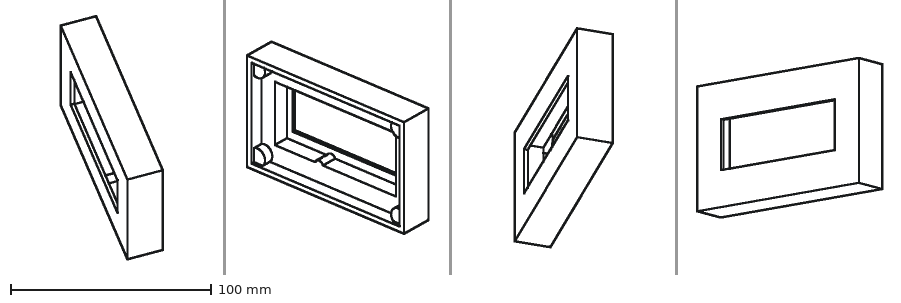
import cadquery as cq

width = 104.0
depth = 18.7
height = 64.0

window_width = 73.0
window_height = 26.0
panel_thickness = 2.0

pocket_margin_x = 3.5
pocket_margin_z = 5.1
pocket_end_y = 11.2
pocket_width = window_width + 2 * pocket_margin_x
pocket_height = window_height + 2 * pocket_margin_z
pocket_floor_z = -pocket_height / 2

wall = 3.1
cavity_width = width - 2 * wall
cavity_height = height - 2 * wall

boss_radius = 5.0
boss_edge_x = 5.3
boss_edge_z = 6.8
boss_recess = 2.0
boss_end_y = depth - boss_recess
boss_x = width / 2 - boss_edge_x
boss_z = height / 2 - boss_edge_z

rib_radius = 2.8
rib_x = 10.8
rib_sink = 0.9
rib_z = pocket_floor_z - rib_sink


def block(size_x, size_z, start_y, end_y):
    """Box centred in X and Z that spans start_y to end_y."""
    middle_y = (start_y + end_y) / 2
    return cq.Workplane("XY").box(size_x, end_y - start_y, size_z).translate((0, middle_y, 0))


def rod(x, z, radius, start_y, end_y):
    """Cylinder along Y that spans start_y to end_y."""
    solid = cq.Solid.makeCylinder(radius, end_y - start_y, cq.Vector(x, start_y, z), cq.Vector(0, 1, 0))
    return cq.Workplane(obj=solid)


result = block(width, height, 0, depth)
result = result.cut(block(window_width, window_height, 0, panel_thickness))
result = result.cut(block(pocket_width, pocket_height, panel_thickness, pocket_end_y))
result = result.cut(block(cavity_width, cavity_height, pocket_end_y, depth))

for side_x in (-1, 1):
    for side_z in (-1, 1):
        boss = rod(side_x * boss_x, side_z * boss_z, boss_radius, pocket_end_y, boss_end_y)
        result = result.union(boss)

result = result.union(rod(rib_x, rib_z, rib_radius, panel_thickness, pocket_end_y))